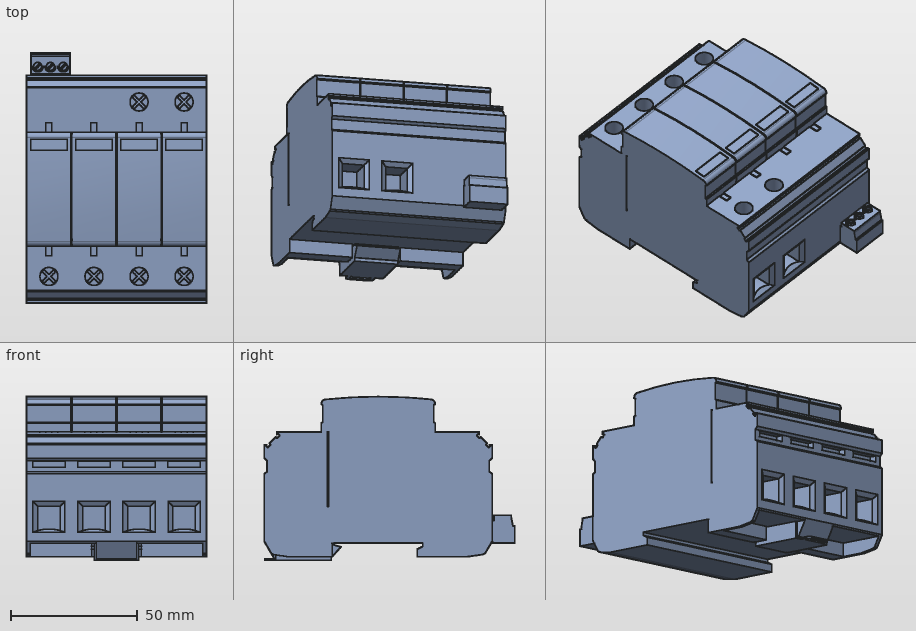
import cadquery as cq
import math


poles = 4
width = 71.0
pitch = width / poles
depth = 89.8
mid_y = depth / 2
base_z = 1.4
deck_z = 50.6
rail_roof_z = 6.8

deck_edge_y = 5.0
lip = 1.1
lip_return = 0.4
groove_depth = 0.7
groove_width = 1.1
groove_exit = 0.5

recess_depth = 1.1
recess_top = (40.3, 39.2)
recess_bottom = (34.15, 34.9)

skirt_z = 7.5
skirt_foot = (2.8, 2.8)
heel = (3.75, 2.3)
foot_end_y = 9.9

channel_front_y = 26.7
hook_tip_y = 60.2
hook_root_y = 62.4
hook_low_z = 4.4
hook_high_z = 5.5

module_gap = 0.4
module_base_z = 21.3
module_foot_y = 24.9
module_half = 22.5
module_waist_half = 21.9
band_z = 54.1
cap_z = 61.6
waist_slant = 0.4
cap_shoulder_z = 63.5
cap_shoulder_half = 20.4
cap_top_z = 64.55
cap_corner_cut = 0.6
label_width, label_length = 14.3, 4.3
label_y = 62.4
label_depth = 0.2
key_slot_width = 2.4
key_slot_end_y = 18.7
key_slot_depth = 0.4

screw_y = 10.6
screw_hole_diameter = 7.1
screw_hole_depth = 19.7
cross_length, cross_width, cross_depth = 6.5, 1.1, 1.0
rear_poles = (2, 3)
mouth_width, mouth_height, mouth_z = 12.6, 12.2, 17.2
throat_width = 8.9
throat_low_z, throat_high_z = 11.7, 21.3
throat_arch = 0.6
funnel_depth = 1.2
throat_depth = 11.8
window_width, window_depth = 12.7, 3.0
window_low_z, window_high_z = 36.6, 39.0

end_plate = 1.5
foot_wall_y = 19.7
clip_width = 17.7
clip_channel_width = 19.5
clip_front_y = 4.6
clip_rear_y = 26.5
nose_root_y, nose_root_z = 27.4, 6.1
nose_tip = (30.3, 5.3)
wedge_width = 16.0
wedge_foot_y = 3.9
tab_thickness = 0.7
tab_width = 11.35
tab_front_y = 0.2
tab_radius = 1.9
tab_slot_width = 7.9
tab_slot_front_y = 1.6

plug_inset = 1.8
plug_width = 15.4
plug_rear_y = 98.7
plug_step_z = 13.6
plug_slope_y = (98.0, 97.3)
plug_slope_z = 17.0
plug_top_z = 17.9
plug_gap = 0.6
plug_gap_z = 15.7
plug_screw_y = 93.3
plug_screw_pitch = 5.0
plug_screw_diameter = 3.2
plug_screw_depth = 1.5
plug_collar_diameter = 4.3
plug_collar_depth = 0.4
plug_slot_length, plug_slot_width, plug_slot_depth = 2.4, 0.6, 0.5

pole_centres = [(i - (poles - 1) / 2) * pitch for i in range(poles)]
rear_centres = [pole_centres[i] for i in rear_poles]


def block(x_range, y_range, z_range):
    """Box between the given limits."""
    spans = [high - low for low, high in (x_range, y_range, z_range)]
    return cq.Workplane("XY").box(*spans, centered=False).translate(
        (x_range[0], y_range[0], z_range[0]))


def centred_block(x, size_x, y_range, z_range):
    """Box centred on x, between the given Y and Z limits."""
    return block((x - size_x / 2, x + size_x / 2), y_range, z_range)


def extrude_profile(points, x, size_x):
    """Prism along X, centred on x, from (Y, Z) points."""
    profile = cq.Workplane("YZ", origin=(x, 0, 0)).polyline(points).close()
    return profile.extrude(size_x / 2, both=True)


def to_rear(shape):
    """Mirror a front feature to the rear of the housing."""
    return shape.mirror("XZ").translate((0, depth, 0))


def front_outline():
    """(Y, Z) points of the front of the housing, from the deck edge down to the underside."""
    upper_groove = [
        (deck_edge_y, deck_z),
        (deck_edge_y, deck_z - lip),
        (deck_edge_y + lip_return, deck_z - lip + lip_return),
    ]
    y, z = upper_groove[-1]
    for step_y, step_z in (
        (groove_depth, -groove_depth),
        (-groove_width, -groove_width),
        (-groove_exit, groove_exit),
    ):
        y, z = y + step_y, z + step_z
        upper_groove.append((y, z))
    lower_groove = [(deck_z - z, deck_z - y) for y, z in reversed(upper_groove)]
    return upper_groove + lower_groove + [
        (0, recess_top[0]),
        (recess_depth, recess_top[1]),
        (recess_depth, recess_bottom[1]),
        (0, recess_bottom[0]),
        (0, skirt_z),
        skirt_foot,
        heel,
        (foot_end_y, base_z),
    ]


def housing():
    front = front_outline()
    rear = [(depth - y, z) for y, z in reversed(front)]
    rail_channel = [
        (channel_front_y, base_z),
        (channel_front_y, rail_roof_z),
        (hook_root_y, rail_roof_z),
        (hook_root_y, hook_high_z),
        (hook_tip_y, hook_low_z),
        (hook_tip_y, base_z),
    ]
    body = extrude_profile(front + rail_channel + rear, 0, width)
    below = (0, rail_roof_z)
    front_hollow = centred_block(0, width - 2 * end_plate, (0, foot_wall_y), below)
    clip_channel = centred_block(0, clip_channel_width, (foot_wall_y, channel_front_y), below)
    return body.cut(front_hollow).cut(clip_channel)


def modules():
    """Row of plug-in modules standing on the deck, with narrow gaps between them."""
    corner_y = module_half - cap_corner_cut
    corner_z = cap_shoulder_z - cap_corner_cut
    row = (
        cq.Workplane("YZ")
        .moveTo(mid_y - module_half, deck_z)
        .lineTo(mid_y - module_half, band_z)
        .lineTo(mid_y - module_waist_half, band_z + waist_slant)
        .lineTo(mid_y - module_waist_half, cap_z - waist_slant)
        .lineTo(mid_y - module_half, cap_z)
        .threePointArc((mid_y - corner_y, corner_z), (mid_y - cap_shoulder_half, cap_shoulder_z))
        .threePointArc((mid_y, cap_top_z), (mid_y + cap_shoulder_half, cap_shoulder_z))
        .threePointArc((mid_y + corner_y, corner_z), (mid_y + module_half, cap_z))
        .lineTo(mid_y + module_waist_half, cap_z - waist_slant)
        .lineTo(mid_y + module_waist_half, band_z + waist_slant)
        .lineTo(mid_y + module_half, band_z)
        .lineTo(mid_y + module_half, deck_z)
        .close()
        .extrude(width / 2, both=True)
    )
    for i in range(1, poles):
        x = i * pitch - width / 2
        row = row.cut(centred_block(x, module_gap, (0, depth), (deck_z, cap_top_z)))

    sagitta = cap_top_z - cap_shoulder_z
    top_radius = (cap_shoulder_half ** 2 + sagitta ** 2) / (2 * sagitta)
    tilt = math.asin((label_y - mid_y) / top_radius)
    label_z = cap_top_z - top_radius * (1 - math.cos(tilt))
    field = (
        cq.Workplane("XY")
        .box(label_width, label_length, 2 * label_depth)
        .rotate((0, 0, 0), (1, 0, 0), -math.degrees(tilt))
        .translate((0, label_y, label_z))
    )
    for x in pole_centres:
        row = row.cut(field.translate((x, 0, 0)))
    return row


def screw_well(x):
    """Round well in the deck with a cross-recessed screw head at its bottom."""
    floor_z = deck_z - screw_hole_depth
    floor = cq.Workplane("XY", origin=(x, screw_y, floor_z))
    well = floor.circle(screw_hole_diameter / 2).extrude(screw_hole_depth)
    for angle in (45, 135):
        slot = (
            floor.transformed(rotate=(0, 0, angle))
            .rect(cross_length, cross_width)
            .extrude(-cross_depth)
        )
        well = well.union(slot)
    return well


def wire_entry(x):
    """Funnel-shaped wire opening in the face, leading into a throat with an arched floor."""
    funnel = (
        cq.Workplane("XZ", origin=(x, 0, mouth_z))
        .rect(mouth_width, mouth_height)
        .workplane(offset=-funnel_depth)
        .center(0, (throat_low_z + throat_high_z) / 2 - mouth_z)
        .rect(throat_width, throat_high_z - throat_low_z)
        .loft()
    )
    half = throat_width / 2
    arch_z = throat_low_z + throat_arch
    throat = (
        cq.Workplane("XZ", origin=(x, funnel_depth, 0))
        .moveTo(-half, throat_high_z)
        .lineTo(-half, throat_low_z)
        .threePointArc((0, arch_z), (half, throat_low_z))
        .lineTo(half, throat_high_z)
        .close()
        .extrude(funnel_depth - throat_depth)
    )
    floor_rise = throat_low_z - (mouth_z - mouth_height / 2)
    ramp_end_y = funnel_depth * (1 + throat_arch / floor_rise)
    ramp = extrude_profile(
        [(funnel_depth, throat_low_z), (ramp_end_y, arch_z), (funnel_depth, arch_z)], x, throat_width)
    return funnel.union(throat).union(ramp)


def key_slot(x):
    """Shallow slot in the deck, running in from the foot of the module."""
    return centred_block(
        x,
        key_slot_width,
        (key_slot_end_y, mid_y - module_half),
        (deck_z - key_slot_depth, deck_z),
    )


def window(x):
    """Marker opening in the long front recess."""
    return centred_block(
        x, window_width, (recess_depth, recess_depth + window_depth), (window_low_z, window_high_z))


def rail_clip():
    """Sliding clip with a rail nose at the back and a pull loop at the front."""
    slider = extrude_profile(
        [
            (clip_front_y, 0),
            (clip_front_y, rail_roof_z),
            (nose_root_y, rail_roof_z),
            (nose_root_y, nose_root_z),
            nose_tip,
            (channel_front_y, base_z),
            (clip_rear_y, base_z),
            (clip_rear_y, 0),
        ],
        0,
        clip_width,
    )
    wedge = extrude_profile(
        [
            (0, skirt_z),
            (wedge_foot_y, tab_thickness),
            (clip_front_y, tab_thickness),
            (clip_front_y, skirt_z),
        ],
        0,
        wedge_width,
    )
    loop = (
        centred_block(0, tab_width, (tab_front_y, clip_front_y), (0, tab_thickness))
        .edges("|Z and <Y")
        .fillet(tab_radius)
    )
    loop_slot = centred_block(0, tab_slot_width, (tab_slot_front_y, wedge_foot_y), (0, tab_thickness))
    return slider.union(wedge).union(loop.cut(loop_slot))


def signal_connector():
    """Three-way screw connector on the rear face, behind the first pole."""
    centre_x = plug_inset + (plug_width - width) / 2
    plug = extrude_profile(
        [
            (depth, rail_roof_z),
            (plug_rear_y, rail_roof_z),
            (plug_rear_y, plug_step_z),
            (plug_slope_y[0], plug_step_z),
            (plug_slope_y[1], plug_slope_z),
            (plug_slope_y[1], plug_top_z),
            (depth + plug_gap, plug_top_z),
            (depth + plug_gap, plug_gap_z),
            (depth, plug_gap_z),
        ],
        centre_x,
        plug_width,
    )
    for i in (-1, 0, 1):
        x = centre_x + i * plug_screw_pitch
        top = cq.Workplane("XY", origin=(x, plug_screw_y, plug_top_z))
        hole = top.circle(plug_screw_diameter / 2).extrude(-plug_screw_depth)
        front_half = centred_block(
            x,
            plug_collar_diameter,
            (plug_screw_y - plug_collar_diameter / 2, plug_screw_y),
            (plug_top_z - plug_collar_depth, plug_top_z),
        )
        collar = top.circle(plug_collar_diameter / 2).extrude(-plug_collar_depth).intersect(front_half)
        slot = (
            top.workplane(offset=-plug_screw_depth)
            .transformed(rotate=(0, 0, 45))
            .rect(plug_slot_length, plug_slot_width)
            .extrude(-plug_slot_depth)
        )
        plug = plug.cut(hole).cut(collar).cut(slot)
    return plug


body = housing().union(modules()).union(rail_clip()).union(signal_connector())

clearance = centred_block(0, width, (module_foot_y, module_foot_y + module_gap), (module_base_z, deck_z))
body = body.cut(clearance)

for x in pole_centres:
    for feature in (screw_well(x), wire_entry(x), window(x), key_slot(x), to_rear(key_slot(x))):
        body = body.cut(feature)
for x in rear_centres:
    for feature in (screw_well(x), wire_entry(x)):
        body = body.cut(to_rear(feature))

result = body